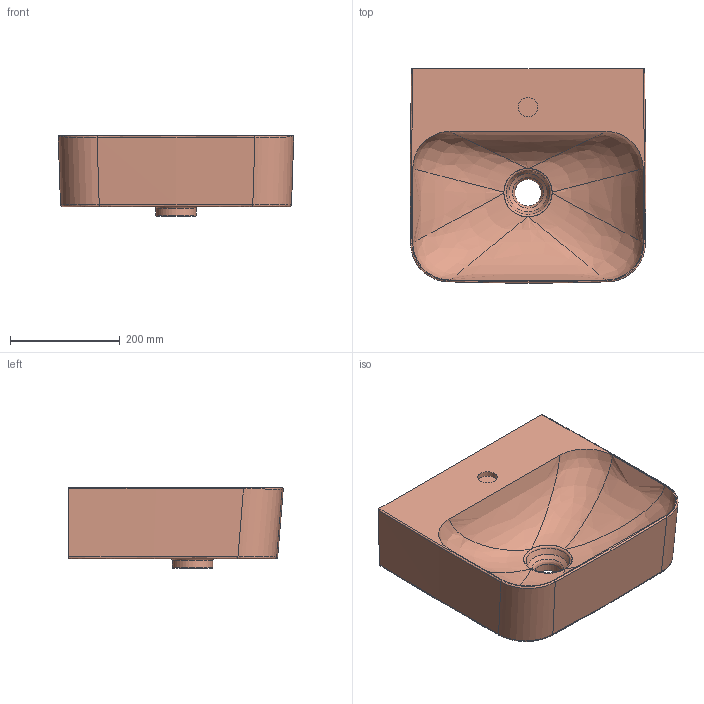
import cadquery as cq
import math


WIDTH = 429.74
DEPTH = 391.14
HEIGHT = 147.54

BODY_HEIGHT = 130.0
SIDE_TAPER = 4.3
FRONT_TAPER = 10.5
CORNER_RADIUS = 70.0
SIDE_BULGE = 2.5
FRONT_BULGE = 2.5
WIDEST_Y = -200.0
TOP_FILLET = 2.5
BOTTOM_FILLET = 4.0

DRAIN_Y = -225.7
DRAIN_DIAMETER = 48.45
COLLAR_DIAMETER = 73.5
COLLAR_END_FILLET = 2.0
COLLAR_BASE_FILLET = 3.0
SEAT_DEPTH = 105.0
RING_RADIUS = 44.0
MOUTH_RADIUS = 40.0
MOUTH_DROP = 4.0
SEAT_RADIUS = 35.0
SEAT_DROP = 13.7
THROAT_RADIUS = 28.3
THROAT_DROP = 19.6
BORE_DROP = 28.0

BOWL_HALF_WIDTH = 210.0
BOWL_BACK_REACH = 111.6
BOWL_FRONT_REACH = 159.5
BOWL_CORNER_RADIUS = 68.0
RING_CORNER_RADIUS = 43.0
BOWL_EXPONENT = 1.6
BOWL_SECTIONS = 7
SECTION_PLATE = 1.0

TAP_DIAMETER = 35.0
TAP_Y = -70.0
TAP_DEPTH = 10.0


def body_outline(z, side_inset, front_inset):
    """Flat back, arched sides, round front corners and arched front at height z."""
    half_width = WIDTH / 2 - side_inset
    edge_x = half_width - SIDE_BULGE
    front_y = -DEPTH + front_inset + FRONT_BULGE
    corner_y = front_y + CORNER_RADIUS
    side_radius = WIDEST_Y**2 / (2 * SIDE_BULGE) + SIDE_BULGE / 2
    corner_x = half_width - side_radius + math.sqrt(side_radius**2 - (corner_y - WIDEST_Y) ** 2)
    front_x = corner_x - CORNER_RADIUS
    mid_x = front_x + CORNER_RADIUS * math.cos(math.pi / 4)
    mid_y = corner_y - CORNER_RADIUS * math.sin(math.pi / 4)
    return (
        cq.Workplane("XY", origin=(0, 0, z))
        .moveTo(-edge_x, 0)
        .lineTo(edge_x, 0)
        .threePointArc((half_width, WIDEST_Y), (corner_x, corner_y))
        .threePointArc((mid_x, mid_y), (front_x, front_y))
        .threePointArc((0, front_y - FRONT_BULGE), (-front_x, front_y))
        .threePointArc((-mid_x, mid_y), (-corner_x, corner_y))
        .threePointArc((-half_width, WIDEST_Y), (-edge_x, 0))
        .close()
        .val()
    )


def make_body():
    top = body_outline(0, 0, 0)
    bottom = body_outline(-BODY_HEIGHT, SIDE_TAPER, FRONT_TAPER)
    body = cq.Workplane(cq.Solid.makeLoft([bottom, top], True))
    body = body.faces(">Z").edges("not >Y").fillet(TOP_FILLET)
    return body.faces("<Z").edges("not >Y").fillet(BOTTOM_FILLET)


def bowl_section(step):
    """Rounded rectangle between the opening (step 0) and the drain ring (last step)."""
    angle = step / (BOWL_SECTIONS - 1) * math.pi / 2
    spread = abs(math.cos(angle)) ** (2 / BOWL_EXPONENT)
    drop = SEAT_DEPTH * math.sin(angle) ** (2 / BOWL_EXPONENT)

    def blend(at_opening, at_ring):
        return at_ring + (at_opening - at_ring) * spread

    half_width = blend(BOWL_HALF_WIDTH, RING_RADIUS)
    back = blend(BOWL_BACK_REACH, RING_RADIUS)
    front = blend(BOWL_FRONT_REACH, RING_RADIUS)
    radius = blend(BOWL_CORNER_RADIUS, RING_CORNER_RADIUS)
    plate = cq.Workplane("XY").rect(2 * half_width, back + front).extrude(SECTION_PLATE)
    plate = plate.edges("|Z").fillet(radius)
    centre_y = DRAIN_Y + (back - front) / 2
    return plate.faces("<Z").wires().val().translate(cq.Vector(0, centre_y, -drop))


def make_bowl():
    return cq.Workplane(cq.Solid.makeLoft([bowl_section(step) for step in range(BOWL_SECTIONS)]))


def add_collar(body):
    body = (
        body.faces("<Z")
        .workplane(origin=(0, DRAIN_Y, -BODY_HEIGHT))
        .circle(COLLAR_DIAMETER / 2)
        .extrude(HEIGHT - BODY_HEIGHT)
    )
    body = body.faces("<Z").edges().fillet(COLLAR_END_FILLET)
    around_base = cq.selectors.BoxSelector(
        (-COLLAR_DIAMETER, DRAIN_Y - COLLAR_DIAMETER, -BODY_HEIGHT - COLLAR_BASE_FILLET),
        (COLLAR_DIAMETER, DRAIN_Y + COLLAR_DIAMETER, -BODY_HEIGHT + COLLAR_BASE_FILLET),
    )
    return body.edges("%CIRCLE").edges(around_base).fillet(COLLAR_BASE_FILLET)


def make_drain():
    """Stepped drain passage, revolved about the vertical drain axis."""
    bore_radius = DRAIN_DIAMETER / 2
    throat_inset = THROAT_RADIUS - bore_radius
    throat_fall = BORE_DROP - THROAT_DROP
    throat_round = (throat_inset**2 + throat_fall**2) / (2 * throat_inset)
    return (
        cq.Workplane("XZ", origin=(0, DRAIN_Y, -SEAT_DEPTH))
        .moveTo(0, 0)
        .lineTo(RING_RADIUS, 0)
        .radiusArc((MOUTH_RADIUS, -MOUTH_DROP), -MOUTH_DROP)
        .lineTo(SEAT_RADIUS, -SEAT_DROP)
        .lineTo(THROAT_RADIUS, -THROAT_DROP)
        .radiusArc((bore_radius, -BORE_DROP), -throat_round)
        .lineTo(bore_radius, SEAT_DEPTH - HEIGHT)
        .lineTo(0, SEAT_DEPTH - HEIGHT)
        .close()
        .revolve(360, (0, 0, 0), (0, 1, 0))
    )


def make_tap_hole():
    return cq.Workplane("XY", origin=(0, TAP_Y, 0)).circle(TAP_DIAMETER / 2).extrude(-TAP_DEPTH)


result = add_collar(make_body()).cut(make_bowl()).cut(make_drain()).cut(make_tap_hole())